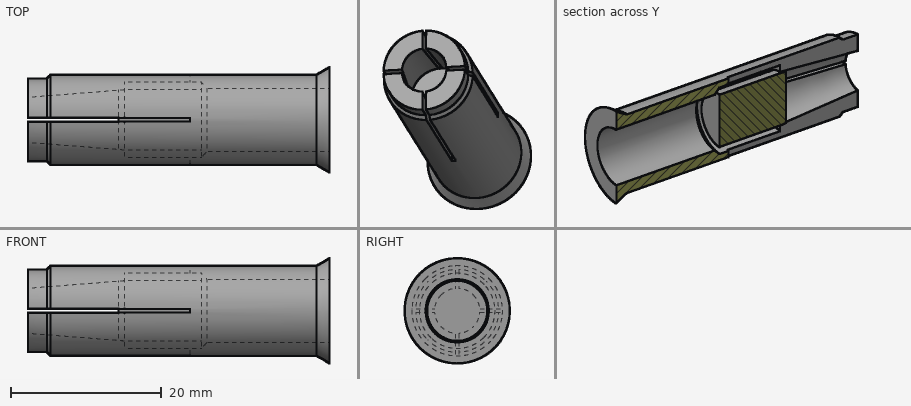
import cadquery as cq
import math


length = 40.0
body_radius = 6.0
nose_radius = 5.5
nose_length = 2.5
nose_chamfer = body_radius - nose_radius
flare_radius = 7.0
flare_angle = 30.0
flare_length = (flare_radius - body_radius) / math.tan(math.radians(flare_angle))

mouth_radius = 3.0
taper_end_radius = 4.0
taper_length = 12.8
chamber_radius = 5.0
chamber_end = 23.0
step_length = 0.75
core_radius = 4.188
core_start = chamber_end + step_length

slot_width = 0.5
slot_length = 21.5
slot_angles = (0, 90)

plug_start = 12.0
plug_end = chamber_end
plug_radius = taper_end_radius
plug_tip_radius = mouth_radius + (taper_end_radius - mouth_radius) * plug_start / taper_length


def revolve_about_x(points):
    """Turn a closed (x, radius) outline around the X axis."""
    return cq.Workplane("XY").polyline(points).close().revolve(360, (0, 0, 0), (1, 0, 0))


def make_slot_blade(angle):
    """A flat blade across the whole nose, cutting two opposite slots."""
    blade = cq.Workplane("XY").box(
        slot_length, 2 * flare_radius, slot_width, centered=(False, True, True)
    )
    return blade.rotate((0, 0, 0), (1, 0, 0), angle)


def make_sleeve():
    sleeve = revolve_about_x([
        (0, mouth_radius),
        (0, nose_radius),
        (nose_length, nose_radius),
        (nose_length + nose_chamfer, body_radius),
        (length - flare_length, body_radius),
        (length, flare_radius),
        (length, core_radius),
        (core_start, core_radius),
        (chamber_end, chamber_radius),
        (taper_length, chamber_radius),
        (taper_length, taper_end_radius),
    ])
    for angle in slot_angles:
        sleeve = sleeve.cut(make_slot_blade(angle))
    return sleeve


def make_plug():
    return revolve_about_x([
        (plug_start, 0),
        (plug_start, plug_tip_radius),
        (taper_length, plug_radius),
        (plug_end, plug_radius),
        (plug_end, 0),
    ])


sleeve = make_sleeve()
plug = make_plug()

result = cq.Compound.makeCompound([sleeve.val(), plug.val()])